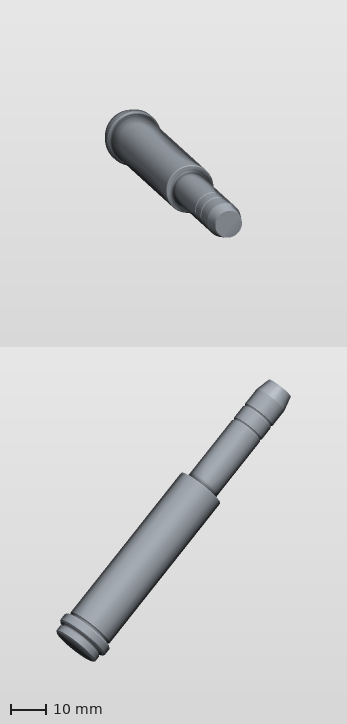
import cadquery as cq

length = 94.0
body_radius = 14.0 / 2
collar_radius = 16.0 / 2
stem_radius = 10.0 / 2

head_chamfer_length = 0.4
head_chamfer_depth = 0.6
collar_start = 3.0
collar_end = 6.0
collar_chamfer = 0.5

shoulder_x = 57.8
shoulder_fillet = 0.3
stem_fillet = 0.7

groove_width = 0.9
groove_depth = 0.3
stem_groove_starts = (78.5, 83.5)

tip_length = 4.2
tip_radius = 3.95


def revolve_about_x(profile):
    return profile.revolve(360, (0, 0, 0), (1, 0, 0))


def cylinder(start, end, radius):
    """Solid cylinder along X between two stations."""
    return cq.Workplane("YZ").workplane(offset=start).circle(radius).extrude(end - start)


def groove_ring(start, radius):
    """Ring that cuts a round-bottomed groove into a cylinder."""
    end = start + groove_width
    clearance = groove_depth
    profile = (
        cq.Workplane("XY")
        .moveTo(start, radius + clearance)
        .lineTo(start, radius)
        .threePointArc((start + groove_width / 2, radius - groove_depth), (end, radius))
        .lineTo(end, radius + clearance)
        .close()
    )
    return revolve_about_x(profile)


def make_body():
    body = cylinder(0, shoulder_x, body_radius)
    body = body.faces("<X").chamfer(head_chamfer_length, head_chamfer_depth)
    return body.faces(">X").fillet(shoulder_fillet)


def make_collar():
    collar = cylinder(collar_start, collar_end, collar_radius)
    return collar.faces("<X or >X").chamfer(collar_chamfer)


def make_stem():
    """Stem with a concave root fillet and a tapered tip."""
    fillet_end = shoulder_x + stem_fillet
    profile = (
        cq.Workplane("XY")
        .moveTo(shoulder_x, 0)
        .lineTo(shoulder_x, stem_radius + stem_fillet)
        .radiusArc((fillet_end, stem_radius), -stem_fillet)
        .lineTo(length - tip_length, stem_radius)
        .lineTo(length, tip_radius)
        .lineTo(length, 0)
        .close()
    )
    return revolve_about_x(profile)


pin = make_body()
for groove_start in (collar_start - groove_width, collar_end):
    pin = pin.cut(groove_ring(groove_start, body_radius))
pin = pin.union(make_collar())

stem = make_stem()
for groove_start in stem_groove_starts:
    stem = stem.cut(groove_ring(groove_start, stem_radius))

result = pin.union(stem).translate((-length / 2, 0, 0))